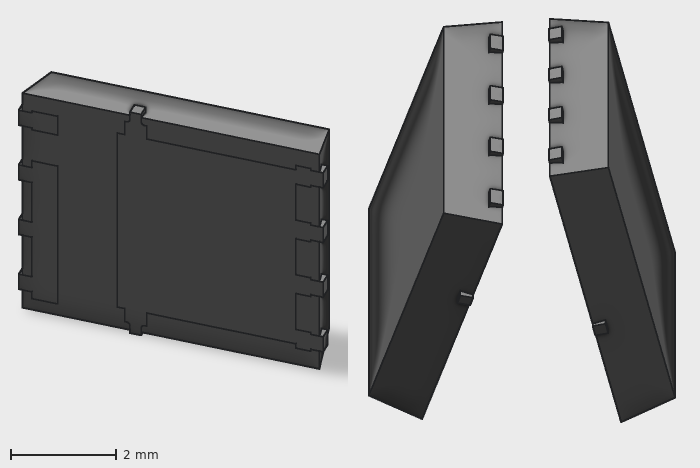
import cadquery as cq


housing_length = 6.0
housing_height = 5.0
housing_depth = 1.1
draft_angle = 10.0

overall_length = 6.15
metal_thickness = 0.25
lead_row_count = 4
lead_pitch = 1.27
lead_width = 0.35
pad_width = 0.435
left_neck_x = -2.81
left_pad_inner_x = -2.29
source_pad_overhang = 0.33

drain_left_x = -1.09
drain_right_x = 2.53
right_neck_x = 2.82
drain_height = 4.05

tie_bar_x = -0.715
tie_bar_length = 5.15
tie_bar_width = 0.23
tie_shoulder_width = 0.44
tie_shoulder_height = 4.66
tie_fillet_radius = 0.075

lead_tip_x = overall_length / 2
top_row = lead_pitch * (lead_row_count - 1) / 2
lead_rows = [top_row - lead_pitch * index for index in range(lead_row_count)]
gate_row = lead_rows[0]
source_rows = lead_rows[1:]


def metal_plate(x_start, x_end, z_start, z_end):
    """Rectangular plate with its outer face at Y = 0."""
    plate = cq.Workplane("XY").box(x_end - x_start, metal_thickness, z_end - z_start, centered=False)
    return plate.translate((x_start, 0, z_start))


def row_plate(x_start, x_end, row_z, width):
    """Plate centred on the height of one lead row."""
    return metal_plate(x_start, x_end, row_z - width / 2, row_z + width / 2)


def centred_plate(centre_x, width, height):
    """Plate centred on X = centre_x and Z = 0."""
    return metal_plate(centre_x - width / 2, centre_x + width / 2, -height / 2, height / 2)


def left_lead(row_z):
    """Lead that runs from a left-hand pad out past the housing."""
    return row_plate(-lead_tip_x, left_pad_inner_x, row_z, lead_width)


def right_lead(row_z):
    """Lead and its wider root at the right-hand edge of the drain."""
    root = row_plate(drain_right_x, right_neck_x, row_z, pad_width)
    lead = row_plate(right_neck_x, lead_tip_x, row_z, lead_width)
    return root.union(lead)


def make_gate():
    """Single pad and its lead in the top row."""
    pad = row_plate(left_neck_x, left_pad_inner_x, gate_row, pad_width)
    return pad.union(left_lead(gate_row))


def make_source():
    """Tall pad that joins the three lower left-hand leads."""
    pad_top = source_rows[0] + source_pad_overhang
    pad_bottom = source_rows[-1] - source_pad_overhang
    source = metal_plate(left_neck_x, left_pad_inner_x, pad_bottom, pad_top)
    for row_z in source_rows:
        source = source.union(left_lead(row_z))
    return source


def make_tie_bar():
    """Stepped bar whose inside corners at the shoulders are rounded."""
    shoulder = centred_plate(tie_bar_x, tie_shoulder_width, tie_shoulder_height)
    bar = centred_plate(tie_bar_x, tie_bar_width, tie_bar_length)
    reach_x = tie_bar_width / 2 + tie_fillet_radius
    reach_z = tie_shoulder_height / 2 + tie_fillet_radius
    inside_corners = cq.selectors.BoxSelector(
        (tie_bar_x - reach_x, 0, -reach_z),
        (tie_bar_x + reach_x, metal_thickness, reach_z),
    )
    return shoulder.union(bar).edges("|Y").edges(inside_corners).fillet(tie_fillet_radius)


def make_drain():
    """Large pad with the tie bar and the four right-hand leads."""
    drain = metal_plate(drain_left_x, drain_right_x, -drain_height / 2, drain_height / 2)
    drain = drain.union(make_tie_bar())
    for row_z in lead_rows:
        drain = drain.union(right_lead(row_z))
    return drain


def make_housing(terminals):
    """Drafted block with a matching recess for every terminal."""
    footprint = cq.Workplane("XZ").rect(housing_length, housing_height)
    block = footprint.extrude(-housing_depth, taper=draft_angle)
    for terminal in terminals:
        block = block.cut(terminal)
    return block


gate = make_gate()
source = make_source()
drain = make_drain()
housing = make_housing([gate, source, drain])

result = cq.Compound.makeCompound([housing.val(), gate.val(), source.val(), drain.val()])